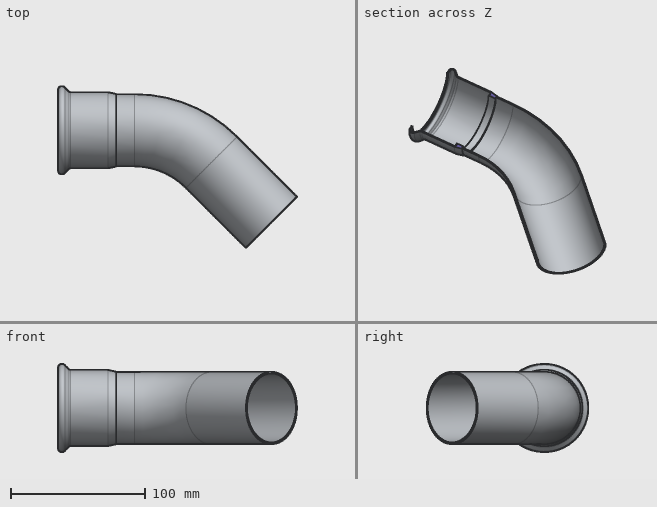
import cadquery as cq
import math

pipe_radius = 54.0 / 2
pipe_bore_radius = 25.7
bend_radius = 81.0
bend_angle = 45
bend_start = 57.0
spigot_length = 63.5

socket_radius = 57 / 2
socket_wall = 1.2
socket_bore_radius = socket_radius - socket_wall
socket_end = 37.0
taper_end = 42.8
taper_end_radius = 27.3
taper_edge_length = 0.5
stop_radius = 24.5

bead_radius = 66 / 2
bead_round = 5.9 / 2
bead_center_radius = bead_radius - bead_round
groove_round = bead_round - socket_wall
blend_round = 1.8
blend_center_radius = socket_radius + blend_round

flank_offset = (bead_round + blend_round) * math.sqrt(2)
blend_x = bead_round + flank_offset + bead_center_radius - blend_center_radius
inner_blend_round = blend_round + socket_wall


def round_point(center, radius, degrees):
    """Point on a round, with the angle measured from +X."""
    angle = math.radians(degrees)
    return (center[0] + radius * math.cos(angle), center[1] + radius * math.sin(angle))


def make_socket():
    bead_center = (bead_round, bead_center_radius)
    blend_center = (blend_x, blend_center_radius)
    profile = (
        cq.Workplane("XY")
        .moveTo(0, socket_bore_radius)
        .lineTo(0, bead_center_radius)
        .threePointArc(round_point(bead_center, bead_round, 135), round_point(bead_center, bead_round, 45))
        .lineTo(*round_point(blend_center, blend_round, 225))
        .threePointArc(round_point(blend_center, blend_round, 247.5), (blend_x, socket_radius))
        .lineTo(socket_end, socket_radius)
        .lineTo(taper_end, taper_end_radius)
        .lineTo(taper_end + taper_edge_length, pipe_radius)
        .lineTo(bend_start, pipe_radius)
        .lineTo(bend_start, pipe_bore_radius)
        .lineTo(taper_end, pipe_bore_radius)
        .lineTo(taper_end, stop_radius)
        .lineTo(socket_end, stop_radius)
        .lineTo(socket_end, socket_bore_radius)
        .lineTo(blend_x, socket_bore_radius)
        .threePointArc(
            round_point(blend_center, inner_blend_round, 247.5),
            round_point(blend_center, inner_blend_round, 225),
        )
        .lineTo(*round_point(bead_center, groove_round, 45))
        .threePointArc(round_point(bead_center, groove_round, 135), (socket_wall, bead_center_radius))
        .lineTo(socket_wall, socket_bore_radius)
        .close()
    )
    return profile.revolve(360, (0, 0, 0), (1, 0, 0))


def pipe_ring(plane):
    return cq.Workplane(plane).circle(pipe_radius).circle(pipe_bore_radius)


def make_bend():
    start_plane = cq.Plane(origin=(bend_start, 0, 0), xDir=(0, 1, 0), normal=(1, 0, 0))
    return pipe_ring(start_plane).revolve(bend_angle, (-bend_radius, 1.8, 0), (-bend_radius, 0, 0))


def make_spigot():
    angle = math.radians(bend_angle)
    bend_end = (
        bend_start + bend_radius * math.sin(angle),
        -bend_radius * (1 - math.cos(angle)),
        0,
    )
    direction = (math.cos(angle), -math.sin(angle), 0)
    end_plane = cq.Plane(origin=bend_end, xDir=(0, 0, 1), normal=direction)
    return pipe_ring(end_plane).extrude(spigot_length)


result = make_socket().union(make_bend()).union(make_spigot())